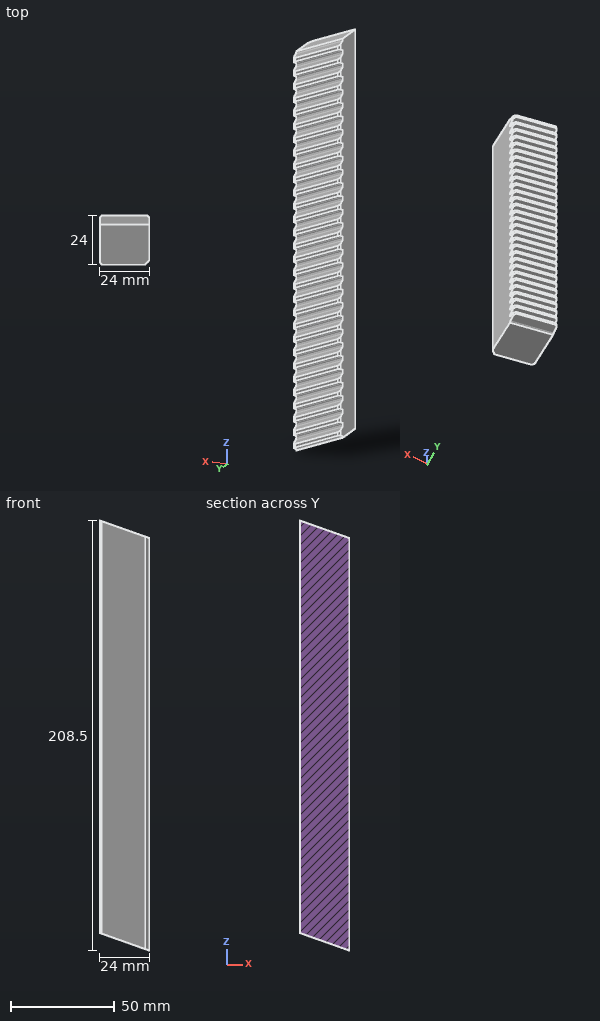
import cadquery as cq
import math


total_length = 208.5
width = 24.0
height = 24.0
tooth_count = 30
helix_angle = math.radians(19.53)
pressure_angle = math.radians(20)
edge_chamfer = 1.0
mounting_chamfer = 2.0
dedendum_per_module = 1.25
root_radius_per_module = 0.46

end_drop = width * math.tan(helix_angle)
side_length = total_length - end_drop
transverse_pitch = side_length / tooth_count
normal_pitch = transverse_pitch * math.cos(helix_angle)
module = normal_pitch / math.pi
addendum = module
dedendum = dedendum_per_module * module
root_radius = root_radius_per_module * module
pitch_line_y = height / 2 - addendum
overshoot = 2.0


def make_bar():
    """Square bar with slanted parallel ends and four chamfered long edges."""
    right, left = width / 2, -width / 2
    front, back = -height / 2, height / 2
    section = [
        (left + edge_chamfer, front),
        (right - mounting_chamfer, front),
        (right, front + mounting_chamfer),
        (right, back - edge_chamfer),
        (right - edge_chamfer, back),
        (left + edge_chamfer, back),
        (left, back - edge_chamfer),
        (left, front + edge_chamfer),
    ]
    column = cq.Workplane("XY").polyline(section).close().extrude(total_length / 2, both=True)
    top, bottom = total_length / 2, -total_length / 2
    slanted_outline = [
        (left, top),
        (right, top - end_drop),
        (right, bottom),
        (left, bottom + end_drop),
    ]
    slanted_block = cq.Workplane("XZ").polyline(slanted_outline).close().extrude(height, both=True)
    return column.intersect(slanted_block)


def half_gap_width(depth_below_pitch_line):
    """Half the width of a tooth gap, measured square to the teeth."""
    return normal_pitch / 4 - depth_below_pitch_line * math.tan(pressure_angle)


def make_gap_cutter(center_z):
    """Round-rooted gap with straight flanks, slanted through (0, 0, center_z)."""
    along_tooth = (math.cos(helix_angle), 0, -math.sin(helix_angle))
    plane = cq.Plane(origin=(0, 0, center_z), xDir=(0, 1, 0), normal=along_tooth)
    root_y = pitch_line_y - dedendum
    mouth_y = pitch_line_y + addendum + overshoot
    root_half = half_gap_width(dedendum)
    mouth_half = half_gap_width(-addendum - overshoot)
    outline = [
        (root_y, -root_half),
        (mouth_y, -mouth_half),
        (mouth_y, mouth_half),
        (root_y, root_half),
    ]
    cutter = cq.Workplane(plane).polyline(outline).close().extrude(width, both=True)
    root_edges = cutter.edges("<Y").edges(cq.ParallelDirSelector(cq.Vector(*along_tooth)))
    return root_edges.fillet(root_radius)


result = make_bar()
for index in range(tooth_count + 1):
    result = result.cut(make_gap_cutter(-side_length / 2 + index * transverse_pitch))